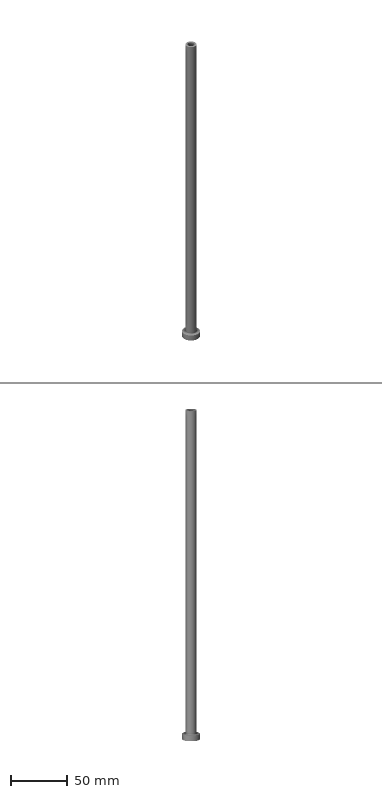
import cadquery as cq

total_length = 300.0
tube_diameter = 10.0
head_diameter = 16.0
head_height = 5.0
bore_diameter = 6.3
root_fillet = 0.5

tube_radius = tube_diameter / 2
head_radius = head_diameter / 2
bore_radius = bore_diameter / 2


def sleeve_profile():
    """Half section of the sleeve wall, drawn as radius against height."""
    return (
        cq.Workplane("XZ")
        .moveTo(bore_radius, 0)
        .lineTo(head_radius, 0)
        .lineTo(head_radius, head_height)
        .lineTo(tube_radius + root_fillet, head_height)
        .radiusArc((tube_radius, head_height + root_fillet), root_fillet)
        .lineTo(tube_radius, total_length)
        .lineTo(bore_radius, total_length)
        .close()
    )


result = sleeve_profile().revolve(360, (0, 0, 0), (0, 1, 0))